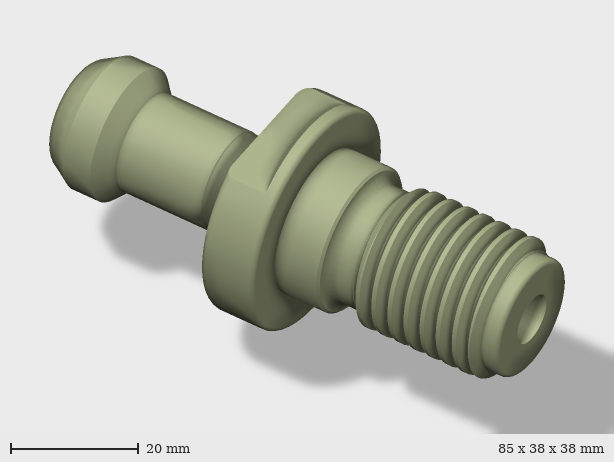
import cadquery as cq
import math


total_length = 85.0
head_cone_end = 5.0
head_rim_end = 10.0
neck_start = 12.9
neck_end = 28.7
flange_start = 35.0
flat_end = 42.8
flange_end = 45.05
pilot_end = 53.2
thread_start = 58.05
thread_end = 82.0

head_radius = 11.5
neck_radius = 8.5
neck_groove_radius = 8.3
flange_radius = 19.0
pilot_radius = 12.5
core_radius = 10.1
thread_radius = 12.0
bore_radius = 4.25
bore_mouth_radius = 4.8

head_cone_angle = math.radians(30)
head_edge_round = 3.0
flange_root_round = 5.0
flange_front_round = 1.5
flange_back_round = 0.85
pilot_chamfer = 0.4
relief_round = 1.7
tip_round = 0.8
bore_mouth_depth = 0.85

flat_offset = 15.0

thread_pitch = 3.0
thread_crest_width = 0.8
groove_floor_width = 0.3
groove_floor_radius = core_radius + 0.1
groove_start = 56.4
groove_turns = 9
groove_clearance = 0.25
thread_lead_in = thread_radius - core_radius
thread_lead_out = 1.1


def rounded_corner(path, corner_x, corner_r, radius, start_dir, end_dir):
    """Line to a right-angled corner, then a tangent arc; directions are unit (x, r) steps."""
    start = (corner_x - radius * start_dir[0], corner_r - radius * start_dir[1])
    end = (corner_x + radius * end_dir[0], corner_r + radius * end_dir[1])
    center = (start[0] + radius * end_dir[0], start[1] + radius * end_dir[1])
    diagonal = radius / math.sqrt(2)
    middle = (
        center[0] + diagonal * (start_dir[0] - end_dir[0]),
        center[1] + diagonal * (start_dir[1] - end_dir[1]),
    )
    return path.lineTo(*start).threePointArc(middle, end)


def make_body():
    """Revolve the half profile of the solid stud about X."""
    forward = (1, 0)
    outward = (0, 1)
    inward = (0, -1)

    cone_face_radius = head_radius - head_cone_end * math.tan(head_cone_angle)
    blend_turn = math.pi / 2 - head_cone_angle
    face_edge_radius = cone_face_radius - head_edge_round * math.tan(blend_turn / 2)

    def blend_point(turn):
        return (
            head_edge_round * (1 - math.cos(turn)),
            face_edge_radius + head_edge_round * math.sin(turn),
        )

    path = cq.Workplane("XZ").lineTo(0, face_edge_radius)
    path = path.threePointArc(blend_point(blend_turn / 2), blend_point(blend_turn))
    path = path.lineTo(head_cone_end, head_radius).lineTo(head_rim_end, head_radius)
    path = path.lineTo(neck_start, neck_radius).lineTo(neck_end, neck_radius)
    path = path.lineTo(neck_end + neck_radius - neck_groove_radius, neck_groove_radius)
    path = rounded_corner(path, flange_start, neck_groove_radius, flange_root_round, forward, outward)
    path = rounded_corner(path, flange_start, flange_radius, flange_front_round, outward, forward)
    path = rounded_corner(path, flange_end, flange_radius, flange_back_round, forward, inward)
    path = path.lineTo(flange_end, pilot_radius).lineTo(pilot_end - pilot_chamfer, pilot_radius)
    path = path.lineTo(pilot_end, pilot_radius - pilot_chamfer)
    path = rounded_corner(path, pilot_end, core_radius, relief_round, inward, forward)
    path = path.lineTo(thread_start, core_radius)
    path = path.lineTo(thread_start + thread_lead_in, thread_radius)
    path = path.lineTo(thread_end - thread_lead_out, thread_radius)
    path = path.lineTo(thread_end, core_radius)
    path = rounded_corner(path, total_length, core_radius, tip_round, forward, inward)
    path = path.lineTo(total_length, 0).close()
    return path.revolve(360, (0, 0, 0), (1, 0, 0))


def make_flat_cutters():
    """Two mirrored blocks that leave a thin full-round collar at the back of the flange."""
    block = cq.Workplane("XY").box(
        flat_end - flange_start, 2 * flange_radius, flange_radius, centered=(False, True, False)
    )
    upper = block.translate((flange_start, 0, flat_offset))
    return upper.union(upper.mirror("XY"))


def make_thread_groove():
    """Right-handed helical groove that runs out past both ends of the thread."""
    flank_slope = (thread_pitch - thread_crest_width - groove_floor_width) / (
        2 * (thread_radius - groove_floor_radius)
    )
    outer_radius = thread_radius + groove_clearance
    floor_half = groove_floor_width / 2
    outer_half = floor_half + flank_slope * (outer_radius - groove_floor_radius)
    section = [
        (groove_floor_radius, -floor_half),
        (outer_radius, -outer_half),
        (outer_radius, outer_half),
        (groove_floor_radius, floor_half),
    ]
    helix_length = groove_turns * thread_pitch
    helices = [
        cq.Wire.makeHelix(thread_pitch, helix_length, radius).translate(cq.Vector(0, 0, offset))
        for radius, offset in section
    ]
    faces = [
        cq.Face.makeRuledSurface(helix, helices[(index + 1) % len(helices)])
        for index, helix in enumerate(helices)
    ]
    end_angle = 2 * math.pi * groove_turns
    for angle, height in [(0, 0), (end_angle, helix_length)]:
        corners = [
            cq.Vector(radius * math.cos(angle), radius * math.sin(angle), height + offset)
            for radius, offset in section
        ]
        faces.append(cq.Face.makeFromWires(cq.Wire.makePolygon(corners, close=True)))
    groove = cq.Workplane(obj=cq.Solid.makeSolid(cq.Shell.makeShell(faces)))
    return groove.rotate((0, 0, 0), (0, 1, 0), 90).translate((groove_start, 0, 0))


def make_bore():
    """Through bore with a chamfered mouth in the head face."""
    return (
        cq.Workplane("XZ")
        .lineTo(0, bore_mouth_radius)
        .lineTo(bore_mouth_depth, bore_radius)
        .lineTo(total_length, bore_radius)
        .lineTo(total_length, 0)
        .close()
        .revolve(360, (0, 0, 0), (1, 0, 0))
    )


result = make_body().cut(make_flat_cutters()).cut(make_thread_groove()).cut(make_bore())